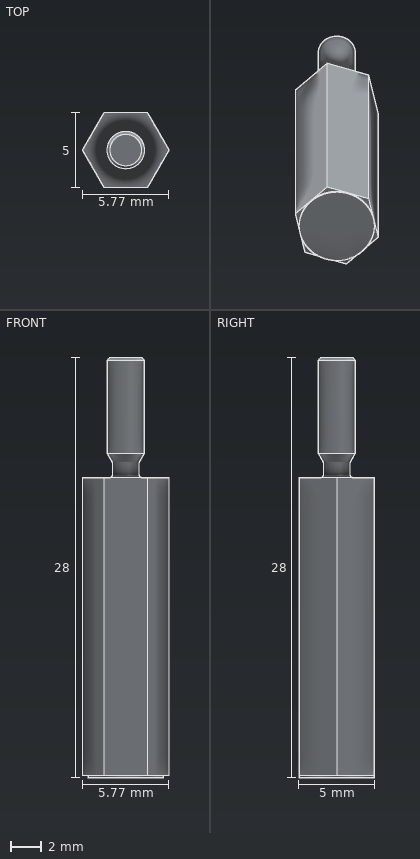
import cadquery as cq
import math

total_length = 28
stud_length = 8.0
body_top = total_length - stud_length
across_flats = 5.0
hexagon_sides = 6
across_corners = across_flats / math.cos(math.pi / hexagon_sides)

seat_height = 0.15

stud_diameter = 2.5
tip_chamfer = 0.2
neck_diameter = 1.8
neck_length = 1.0
neck_fillet = 0.2
runout_angle = math.radians(30)


def hex_body():
    """Hexagonal bar, corners on the X axis, standing on a thin round seating face."""
    seat = cq.Workplane("XY").circle(across_flats / 2).extrude(seat_height)
    bar = (
        cq.Workplane("XY")
        .workplane(offset=seat_height)
        .polygon(hexagon_sides, across_corners)
        .extrude(body_top - seat_height)
    )
    return bar.union(seat)


def stud():
    """Round stud with a chamfered tip and a neck blended into the body and the runout cone."""
    neck_radius = neck_diameter / 2
    stud_radius = stud_diameter / 2
    neck_top = body_top + neck_length
    runout_length = (stud_radius - neck_radius) / math.tan(runout_angle)

    blend_reach = neck_fillet * math.tan(runout_angle / 2)
    blend_end = (
        neck_radius + blend_reach * math.sin(runout_angle),
        neck_top + blend_reach * math.cos(runout_angle),
    )
    return (
        cq.Workplane("XZ")
        .moveTo(0, body_top)
        .lineTo(neck_radius + neck_fillet, body_top)
        .radiusArc((neck_radius, body_top + neck_fillet), neck_fillet)
        .lineTo(neck_radius, neck_top - blend_reach)
        .tangentArcPoint(blend_end, relative=False)
        .lineTo(stud_radius, neck_top + runout_length)
        .lineTo(stud_radius, total_length - tip_chamfer)
        .lineTo(stud_radius - tip_chamfer, total_length)
        .lineTo(0, total_length)
        .close()
        .revolve(360, (0, 0), (0, 1))
    )


result = hex_body().union(stud())